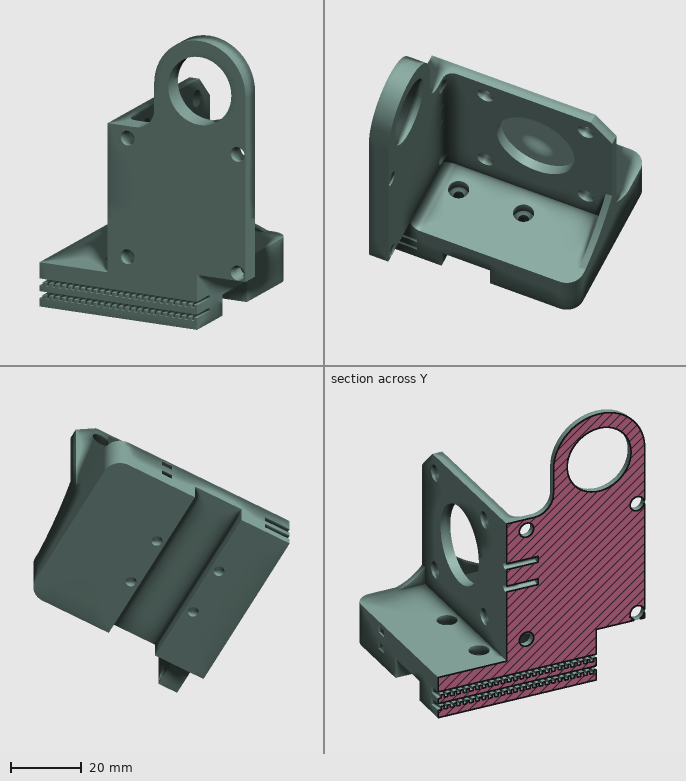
import cadquery as cq
import math

BASE_LENGTH = 50.0
DEPTH = 57.0
BASE_HEIGHT = 13.0
BASE_CORNER_RADIUS = 5.0
RAIL_CHANNEL_WIDTH = 15.0
RAIL_CHANNEL_HEIGHT = 6.2
RAIL_CENTER_Y = 23.1

SCREW_DIAMETER = 3.1
SCREW_HEAD_DIAMETER = 6.0
SCREW_HEAD_DEPTH = 3.0
SCREW_SPACING_X = 15.0
SCREW_SPACING_Y = 20.0

WALL_X = 21.6
WALL_THICKNESS = 3.1
WALL_TOP = 57.0
WALL_CHAMFER = 6.55
WALL_BACK_X = WALL_X + WALL_THICKNESS
MOTOR_Y = 33.4
MOTOR_Z = 36.0
MOTOR_BORE_DIAMETER = 24.0
MOTOR_BOLT_DIAMETER = 5.0
MOTOR_BOLT_SPACING = 31.0
PILOT_DIAMETER = 2.5
PILOT_DEPTH = 10.0
PILOT_Y = 4.85
PILOT_SPACING = 7.15

PLATE_THICKNESS = 6.0
PLATE_RIGHT_X = 65.3
PLATE_BOTTOM = 16.2
TOTAL_HEIGHT = 85.15
EYE_RADIUS = 14.5
EYE_BORE_DIAMETER = 20.0
EYE_BORE_DROP = 0.25
EYE_X = PLATE_RIGHT_X - EYE_RADIUS
EYE_Z = TOTAL_HEIGHT - EYE_RADIUS
NECK_RADIUS = 6.0
PLATE_BOLT_DIAMETER = 4.35
PLATE_BOLT_SPACING = 34.9
PLATE_BOLT_X = 27.9
PLATE_BOLT_Z = 18.5
INNER_FILLET_RADIUS = 3.1

GUSSET_THICKNESS = 2.0
LEFT_GUSSET_LENGTH = 8.3
LEFT_GUSSET_HEIGHT = 5.3
RIGHT_GUSSET_LENGTH = 18.5
RIGHT_GUSSET_HEIGHT = 12.1
GUSSET_HOLLOW = 0.07

BELT_SLOT_DEPTH = 8.0
BELT_SLOT_HEIGHT = 2.05
BELT_SLOT_FLOORS = (2.5, 6.2)
TOOTH_COUNT = 25
TOOTH_PITCH = BASE_LENGTH / TOOTH_COUNT
TOOTH_HEIGHT = 1.0

TIE_CENTER_Y = 39.6
TIE_WIDTH = 3.3
TIE_CENTER_Z = 8.0
TIE_OUTER_RADIUS = 3.7
TIE_INNER_RADIUS = 1.5


def box(x0, x1, y0, y1, z0, z1):
    """Axis-aligned box given by its limits."""
    return cq.Workplane("XY").box(x1 - x0, y1 - y0, z1 - z0, centered=False).translate((x0, y0, z0))


def cylinder_x(diameter, y, z, x0, length):
    """Cylinder along +X that starts at x0."""
    return cq.Workplane("YZ", origin=(x0, y, z)).circle(diameter / 2).extrude(length)


def cylinder_y(diameter, x, z, length):
    """Cylinder along +Y that starts at the front face."""
    return cq.Workplane("XZ", origin=(x, 0, z)).circle(diameter / 2).extrude(-length)


def make_base():
    block = box(0, BASE_LENGTH, 0, DEPTH, 0, BASE_HEIGHT)
    return block.edges("|Z and >Y").fillet(BASE_CORNER_RADIUS)


def make_wall():
    wall = box(WALL_X, WALL_BACK_X, 0, DEPTH, 0, WALL_TOP)
    return wall.edges("|X and >Y and >Z").chamfer(WALL_CHAMFER)


def make_plate():
    eye_left = EYE_X - EYE_RADIUS
    neck_dip = NECK_RADIUS * math.sqrt(0.5)
    neck_center = (eye_left - NECK_RADIUS, WALL_TOP + NECK_RADIUS)
    return (
        cq.Workplane("XZ")
        .moveTo(WALL_X, 0)
        .lineTo(BASE_LENGTH, 0)
        .lineTo(BASE_LENGTH, PLATE_BOTTOM)
        .lineTo(PLATE_RIGHT_X, PLATE_BOTTOM)
        .lineTo(PLATE_RIGHT_X, EYE_Z)
        .threePointArc((EYE_X, TOTAL_HEIGHT), (eye_left, EYE_Z))
        .lineTo(eye_left, neck_center[1])
        .threePointArc((neck_center[0] + neck_dip, neck_center[1] - neck_dip), (neck_center[0], WALL_TOP))
        .lineTo(WALL_X, WALL_TOP)
        .close()
        .extrude(-PLATE_THICKNESS)
    )


def make_inner_fillets():
    """Concave fillets behind the plate: along the floor and up the wall."""
    radius = INNER_FILLET_RADIUS
    y_end = PLATE_THICKNESS + radius
    floor_strip = box(WALL_BACK_X, BASE_LENGTH, PLATE_THICKNESS, y_end, BASE_HEIGHT, BASE_HEIGHT + radius)
    floor_round = cylinder_x(2 * radius, y_end, BASE_HEIGHT + radius, WALL_BACK_X, BASE_LENGTH)
    wall_strip = box(WALL_BACK_X, WALL_BACK_X + radius, PLATE_THICKNESS, y_end, BASE_HEIGHT, WALL_TOP)
    wall_round = (
        cq.Workplane("XY", origin=(WALL_BACK_X + radius, y_end, BASE_HEIGHT))
        .circle(radius)
        .extrude(WALL_TOP)
    )
    return floor_strip.cut(floor_round).union(wall_strip.cut(wall_round))


def make_gusset(wall_face_x, direction, length, height):
    """Triangular web with a hollow edge; direction is the X sense away from the wall."""
    tip = (wall_face_x + direction * length, BASE_HEIGHT)
    top = (wall_face_x, BASE_HEIGHT + height)
    hollow = (
        (tip[0] + top[0]) / 2 - direction * GUSSET_HOLLOW * height,
        (tip[1] + top[1]) / 2 - GUSSET_HOLLOW * length,
    )
    return (
        cq.Workplane("XZ", origin=(0, DEPTH, 0))
        .moveTo(wall_face_x, BASE_HEIGHT)
        .lineTo(*tip)
        .threePointArc(hollow, top)
        .close()
        .extrude(GUSSET_THICKNESS)
    )


def cut_rail_channel(body):
    y_start = RAIL_CENTER_Y - RAIL_CHANNEL_WIDTH / 2
    channel = box(0, BASE_LENGTH, y_start, y_start + RAIL_CHANNEL_WIDTH, 0, RAIL_CHANNEL_HEIGHT)
    return body.cut(channel)


def make_screw_pattern(diameter, z, length):
    """Four vertical cylinders on the screw grid; a negative length runs downward."""
    return (
        cq.Workplane("XY", origin=(BASE_LENGTH / 2, RAIL_CENTER_Y, z))
        .rarray(SCREW_SPACING_X, SCREW_SPACING_Y, 2, 2)
        .circle(diameter / 2)
        .extrude(length)
    )


def cut_base_screws(body):
    body = body.cut(make_screw_pattern(SCREW_DIAMETER, 0, BASE_HEIGHT))
    return body.cut(make_screw_pattern(SCREW_HEAD_DIAMETER, BASE_HEIGHT, -SCREW_HEAD_DEPTH))


def cut_motor_mount(body):
    body = body.cut(cylinder_x(MOTOR_BORE_DIAMETER, MOTOR_Y, MOTOR_Z, WALL_X, WALL_THICKNESS))
    half_spacing = MOTOR_BOLT_SPACING / 2
    for y in (MOTOR_Y - half_spacing, MOTOR_Y + half_spacing):
        for z in (MOTOR_Z - half_spacing, MOTOR_Z + half_spacing):
            body = body.cut(cylinder_x(MOTOR_BOLT_DIAMETER, y, z, WALL_X, WALL_THICKNESS))
    for z in (MOTOR_Z, MOTOR_Z + PILOT_SPACING):
        body = body.cut(cylinder_x(PILOT_DIAMETER, PILOT_Y, z, WALL_X, PILOT_DEPTH))
    return body


def cut_plate_holes(body):
    body = body.cut(cylinder_y(EYE_BORE_DIAMETER, EYE_X, EYE_Z - EYE_BORE_DROP, PLATE_THICKNESS))
    bolt_length = PLATE_THICKNESS + INNER_FILLET_RADIUS
    for x in (PLATE_BOLT_X, PLATE_BOLT_X + PLATE_BOLT_SPACING):
        for z in (PLATE_BOLT_Z, PLATE_BOLT_Z + PLATE_BOLT_SPACING):
            body = body.cut(cylinder_y(PLATE_BOLT_DIAMETER, x, z, bolt_length))
    return body


def make_belt_slot(floor_z):
    """Slot volume less a row of square teeth standing on its floor."""
    slot = box(0, BASE_LENGTH, 0, BELT_SLOT_DEPTH, floor_z, floor_z + BELT_SLOT_HEIGHT)
    teeth = cq.Workplane("XY")
    for index in range(TOOTH_COUNT):
        tooth_end = (index + 1) * TOOTH_PITCH
        tooth_start = tooth_end - TOOTH_PITCH / 2
        teeth = teeth.add(box(tooth_start, tooth_end, 0, BELT_SLOT_DEPTH, floor_z, floor_z + TOOTH_HEIGHT))
    return slot.cut(teeth.combine())


def make_tie_passage():
    """Ring centred on the left face; its inner half forms the passage through the block."""
    return (
        cq.Workplane("XZ", origin=(0, TIE_CENTER_Y + TIE_WIDTH / 2, TIE_CENTER_Z))
        .circle(TIE_OUTER_RADIUS)
        .circle(TIE_INNER_RADIUS)
        .extrude(TIE_WIDTH)
    )


result = make_base().union(make_wall()).union(make_plate()).union(make_inner_fillets())
result = result.union(make_gusset(WALL_X, -1, LEFT_GUSSET_LENGTH, LEFT_GUSSET_HEIGHT))
result = result.union(make_gusset(WALL_BACK_X, 1, RIGHT_GUSSET_LENGTH, RIGHT_GUSSET_HEIGHT))

result = cut_rail_channel(result)
result = cut_base_screws(result)
result = cut_motor_mount(result)
result = cut_plate_holes(result)
for slot_floor in BELT_SLOT_FLOORS:
    result = result.cut(make_belt_slot(slot_floor))
result = result.cut(make_tie_passage())